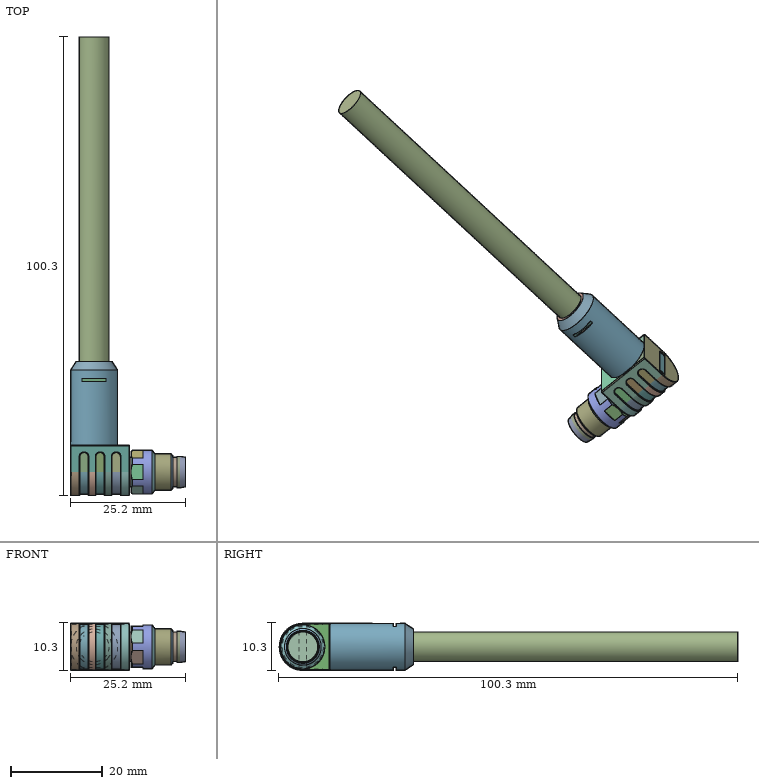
import cadquery as cq


TOTAL_LENGTH = 100.3
HOUSING_DIAMETER = 10.3
HOUSING_RADIUS = HOUSING_DIAMETER / 2
AXIS_X = HOUSING_RADIUS
AXIS_Y = HOUSING_RADIUS

HOUSING_LENGTH = 12.9
HOUSING_BACK = 11.1
END_CHAMFER = 0.1
NOSE_SIDE_CHAMFER = 0.2
BACK_CHAMFER = 0.25

GROOVE_COUNT = 3
GROOVE_FIRST = 2.96
GROOVE_PITCH = 3.5
GROOVE_WIDTH = 1.8
GROOVE_RIM_CHAMFER = 0.15
GROOVE_DEPTH = 0.3
GROOVE_END = 9.4
CUT_MARGIN = 1.0

LABEL_WIDTH = 1.6
LABEL_HEIGHT = 8.2
LABEL_DEPTH = 0.2

CABLE_DIAMETER = 6.5
SLEEVE_SHOULDER = 27.5
SLEEVE_END = 29.4
SLEEVE_END_DIAMETER = 7.8
NOTCH_CENTER = 25.3
NOTCH_WIDTH = 0.6
NOTCH_DEPTH = 0.7

STUB_DIAMETER = 6.5
COLLAR_START = 13.2
COLLAR_DIAMETER = 9.6
COLLAR_START_CHAMFER = 0.3
COLLAR_SHOULDER = 17.9
COLLAR_END = 18.5
BARREL_DIAMETER = 8.0
BARREL_END = 22.4
BARREL_CHAMFER = 0.4
NECK_DIAMETER = 6.5
NECK_END = 23.3
RIM_DIAMETER = 6.9
RIM_SHOULDER = 24.0
NOSE_END = 25.2

FLAT_COUNT = 6
FLAT_ACROSS = 9.0
FLAT_END = 15.8


def make_housing():
    """D-shaped block: flat back, half-round front, grip grooves, chamfered edges and a label recess."""
    block = (
        cq.Workplane("YZ")
        .moveTo(HOUSING_BACK, -HOUSING_RADIUS)
        .lineTo(AXIS_Y, -HOUSING_RADIUS)
        .threePointArc((AXIS_Y - HOUSING_RADIUS, 0), (AXIS_Y, HOUSING_RADIUS))
        .lineTo(HOUSING_BACK, HOUSING_RADIUS)
        .close()
        .extrude(HOUSING_LENGTH)
    )
    for index in range(GROOVE_COUNT):
        block = block.cut(make_groove(GROOVE_FIRST + index * GROOVE_PITCH))
    block = block.faces(">Z").edges("%CIRCLE").chamfer(GROOVE_RIM_CHAMFER)
    block = block.faces(">Y").edges(">Z or <Z").chamfer(BACK_CHAMFER)
    block = block.faces(">X").chamfer(NOSE_SIDE_CHAMFER)
    block = block.faces("<X").chamfer(END_CHAMFER)
    return block.cut(make_label_recess())


def make_groove(center_x):
    """Shallow band around the front, ending in a half-round on each flat side."""
    straight_end = GROOVE_END - GROOVE_WIDTH / 2
    outline = (
        cq.Workplane("XY")
        .moveTo(center_x - GROOVE_WIDTH / 2, -CUT_MARGIN)
        .lineTo(center_x - GROOVE_WIDTH / 2, straight_end)
        .threePointArc((center_x, GROOVE_END), (center_x + GROOVE_WIDTH / 2, straight_end))
        .lineTo(center_x + GROOVE_WIDTH / 2, -CUT_MARGIN)
        .close()
        .extrude(HOUSING_RADIUS + CUT_MARGIN, both=True)
    )
    floor_radius = HOUSING_RADIUS - GROOVE_DEPTH
    core = (
        cq.Workplane("YZ")
        .circle(floor_radius)
        .extrude(HOUSING_LENGTH)
        .translate((0, AXIS_Y, 0))
        .union(
            cq.Workplane("XY")
            .box(HOUSING_LENGTH, HOUSING_BACK - AXIS_Y, 2 * floor_radius, centered=(False, False, True))
            .translate((0, AXIS_Y, 0))
        )
    )
    return outline.cut(core)


def make_label_recess():
    return cq.Workplane("XY").box(
        LABEL_DEPTH, LABEL_WIDTH, LABEL_HEIGHT, centered=(False, True, True)
    ).translate((0, AXIS_Y, 0))


def make_cable():
    """Cable and sleeve turned about the cable axis."""
    profile = (
        cq.Workplane("XY")
        .moveTo(0, HOUSING_BACK)
        .lineTo(HOUSING_RADIUS, HOUSING_BACK)
        .lineTo(HOUSING_RADIUS, SLEEVE_SHOULDER)
        .lineTo(SLEEVE_END_DIAMETER / 2, SLEEVE_END)
        .lineTo(CABLE_DIAMETER / 2, SLEEVE_END)
        .lineTo(CABLE_DIAMETER / 2, TOTAL_LENGTH)
        .lineTo(0, TOTAL_LENGTH)
        .close()
    )
    return profile.revolve(360, (0, 0), (0, 1)).translate((AXIS_X, 0, 0))


def make_notch(side):
    """Straight cut across the sleeve, on top (side 1) or underneath (side -1)."""
    return cq.Workplane("XY").box(HOUSING_DIAMETER, NOTCH_WIDTH, 2 * NOTCH_DEPTH).translate(
        (AXIS_X, NOTCH_CENTER, side * HOUSING_RADIUS)
    )


def make_nose():
    """Stub, collar, barrel, neck and rim turned about the nose axis, with wrench flats."""
    stub = STUB_DIAMETER / 2
    collar = COLLAR_DIAMETER / 2
    barrel = BARREL_DIAMETER / 2
    neck = NECK_DIAMETER / 2
    rim = RIM_DIAMETER / 2
    nose = (
        cq.Workplane("XY")
        .moveTo(HOUSING_LENGTH, 0)
        .lineTo(HOUSING_LENGTH, stub)
        .lineTo(COLLAR_START, stub)
        .lineTo(COLLAR_START, collar - COLLAR_START_CHAMFER)
        .lineTo(COLLAR_START + COLLAR_START_CHAMFER, collar)
        .lineTo(COLLAR_SHOULDER, collar)
        .lineTo(COLLAR_END, barrel)
        .lineTo(BARREL_END - BARREL_CHAMFER, barrel)
        .lineTo(BARREL_END, barrel - BARREL_CHAMFER)
        .lineTo(BARREL_END, neck)
        .lineTo(NECK_END, neck)
        .lineTo(NECK_END, rim)
        .lineTo(RIM_SHOULDER, rim)
        .lineTo(NOSE_END, neck)
        .lineTo(NOSE_END, 0)
        .close()
        .revolve(360, (0, 0), (1, 0))
    )
    flat_cutter = cq.Workplane("XY").box(
        FLAT_END - COLLAR_START, COLLAR_DIAMETER, COLLAR_DIAMETER, centered=(False, True, False)
    ).translate((COLLAR_START, 0, FLAT_ACROSS / 2))
    for index in range(FLAT_COUNT):
        nose = nose.cut(flat_cutter.rotate((0, 0, 0), (1, 0, 0), index * 360 / FLAT_COUNT))
    return nose.translate((0, AXIS_Y, 0))


housing = make_housing()
cable = make_cable()
for side in (1, -1):
    cable = cable.cut(make_notch(side))

result = housing.union(cable).union(make_nose())